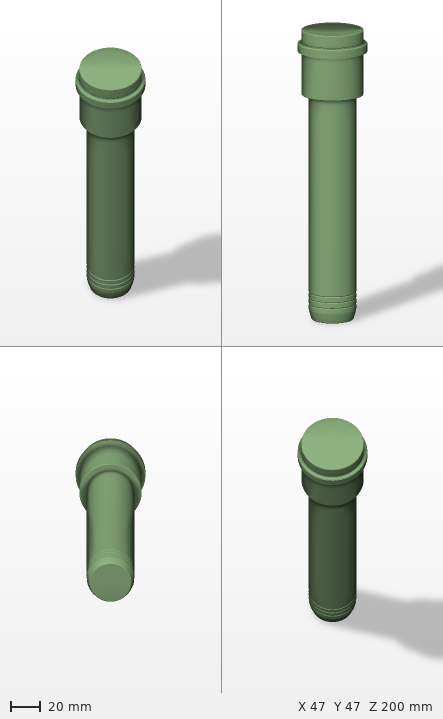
import cadquery as cq

total_length = 200.0
head_radius = 21.0
flange_diameter = 47.0
flange_radius = flange_diameter / 2
shank_radius = 16.0

head_bottom = 155.2
flange_bottom = 185.0
flange_thickness = 6.0
flange_top = flange_bottom + flange_thickness

flange_chamfer = 0.5
head_chamfer = 0.5
tip_chamfer = 0.5

head_relief_depth = 0.3
upper_relief_width = 0.8
lower_relief_width = 1.0

shank_relief_depth = 0.5
shank_relief_width = 1.0

tip_radius = 14.0
tip_height = 7.2
tip_bulge = 0.2

groove_count = 3
groove_pitch = 4.0
groove_width = 1.0
groove_depth = 0.5
lowest_groove_height = 10.5


def cylinder(radius, bottom, height):
    """Upright cylinder on the part axis."""
    return cq.Workplane("XY").workplane(offset=bottom).circle(radius).extrude(height)


def revolve_profile(points):
    """Solid swept around the Z axis by a closed outline of (radius, height) points."""
    return cq.Workplane("XZ").polyline(points).close().revolve(360, (0, 0, 0), (0, 1, 0))


def v_ring(outer_radius, depth, center_height, width):
    """Ring whose section narrows to a point below a cylinder of outer_radius."""
    half_width = width / 2
    return revolve_profile(
        [
            (outer_radius, center_height - half_width),
            (outer_radius - depth, center_height),
            (outer_radius, center_height + half_width),
        ]
    )


def make_shank():
    """Guide shank with a convex lead-in at its free end."""
    arc_middle = ((shank_radius + tip_radius) / 2 + tip_bulge, tip_height / 2)
    blank = (
        cq.Workplane("XZ")
        .lineTo(tip_radius, 0)
        .threePointArc(arc_middle, (shank_radius, tip_height))
        .lineTo(shank_radius, head_bottom)
        .lineTo(0, head_bottom)
        .close()
        .revolve(360, (0, 0, 0), (0, 1, 0))
    )
    return blank.faces("<Z").chamfer(tip_chamfer)


def make_head():
    """Wide head with both end edges broken."""
    blank = cylinder(head_radius, head_bottom, total_length - head_bottom)
    return blank.faces("<Z or >Z").chamfer(head_chamfer)


def make_flange():
    """Collar around the head, chamfered on its upper edge only."""
    blank = cylinder(flange_radius, flange_bottom, flange_thickness)
    return blank.faces(">Z").chamfer(flange_chamfer)


def make_shank_relief():
    """Square-section ring cut into the shank right under the head."""
    bottom = head_bottom - shank_relief_width
    outer = cylinder(shank_radius, bottom, shank_relief_width)
    return outer.cut(cylinder(shank_radius - shank_relief_depth, bottom, shank_relief_width))


shank = make_shank().cut(make_shank_relief())
for index in range(groove_count):
    groove_height = lowest_groove_height + index * groove_pitch
    shank = shank.cut(v_ring(shank_radius, groove_depth, groove_height, groove_width))

upper_relief_height = flange_top + upper_relief_width / 2
lower_relief_height = flange_bottom - lower_relief_width / 2
head = make_head()
head = head.cut(v_ring(head_radius, head_relief_depth, upper_relief_height, upper_relief_width))
head = head.cut(v_ring(head_radius, head_relief_depth, lower_relief_height, lower_relief_width))

result = shank.union(head).union(make_flange())